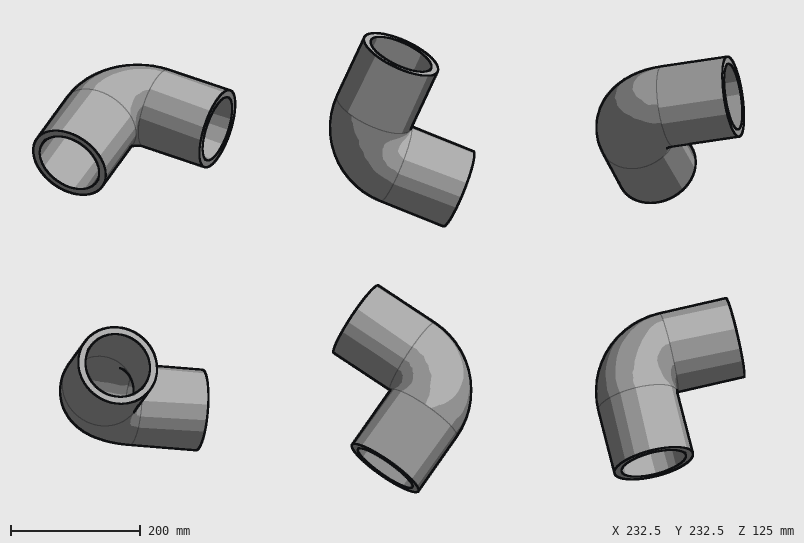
import cadquery as cq
import math

OUTER_DIAMETER = 125.0
BORE_DIAMETER = 102.2
BEND_RADIUS = 65.0
SPIGOT_LENGTH = 105.0

END_DISTANCE = BEND_RADIUS + SPIGOT_LENGTH


def centreline():
    """Path from the -Y end, round the bend, to the +X end."""
    arc_middle = BEND_RADIUS * (1 - math.cos(math.radians(45)))
    return (
        cq.Workplane("XY")
        .moveTo(0, -END_DISTANCE)
        .lineTo(0, -BEND_RADIUS)
        .threePointArc((arc_middle, -arc_middle), (BEND_RADIUS, 0))
        .lineTo(END_DISTANCE, 0)
    )


def make_elbow():
    """Sweep the pipe's ring section along the centreline."""
    return (
        cq.Workplane("XZ", origin=(0, -END_DISTANCE, 0))
        .circle(OUTER_DIAMETER / 2)
        .circle(BORE_DIAMETER / 2)
        .sweep(centreline())
    )


result = make_elbow()